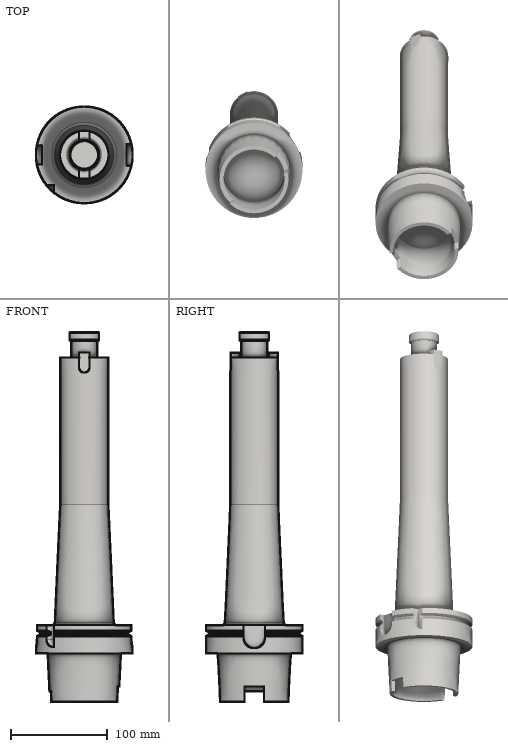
import cadquery as cq
import math

total_height = 381.5
taper_height = 50.0
flange_height = 29.0
cone_top = 203.5
shoulder_height = 355.5
pilot_top = 372.5

flange_diameter = 100.0
taper_top_diameter = 76.0
taper_ratio = 0.1
sleeve_diameter = 50.0
cone_base_diameter = 61.0
pilot_diameter = 27.0
bore_diameter = 63.0

fillet_radius = 3.0

groove_centre = 70.5
groove_mouth = 6.0
groove_floor = 2.3
groove_depth = 3.5

rim_slot_floor = 43.5
left_rim_slot_width = 20.0
right_rim_slot_width = 22.0
rim_slot_bottom = 55.5

corner_notch_wall = 31.3
corner_notch_radius = 8.0
corner_notch_bottom = 56.5

end_notch_width = 20.0
left_end_notch_height = 10.5
right_end_notch_height = 16.0

key_width = 10.5
key_inner_face = 15.0
key_outer_face = 24.5
key_top = 360.3
key_bottom = 339.5

head_diameter = 31.0
head_chamfer = 1.0

flange_top = taper_height + flange_height
taper_end_diameter = taper_top_diameter - taper_ratio * taper_height


def round_bottom_slot(plane, centre, width, bottom, top, depth):
    """Slot with a semicircular lower end, drawn on a vertical plane and extruded along its normal."""
    radius = width / 2
    return (
        cq.Workplane(plane)
        .moveTo(centre - radius, top)
        .lineTo(centre - radius, bottom + radius)
        .threePointArc((centre, bottom), (centre + radius, bottom + radius))
        .lineTo(centre + radius, top)
        .close()
        .extrude(depth)
    )


def turned_blank():
    """Shank, flange, cone, sleeve and pilot as one revolved profile."""
    flange_radius = flange_diameter / 2
    fillet_foot = cone_base_diameter / 2 + fillet_radius
    fillet_middle = fillet_radius * (1 - math.sqrt(0.5))
    groove_radius = flange_radius - groove_depth
    return (
        cq.Workplane("XZ")
        .lineTo(taper_end_diameter / 2, 0)
        .lineTo(taper_top_diameter / 2, taper_height)
        .lineTo(flange_radius, taper_height)
        .lineTo(flange_radius, groove_centre - groove_mouth / 2)
        .lineTo(groove_radius, groove_centre - groove_floor / 2)
        .lineTo(groove_radius, groove_centre + groove_floor / 2)
        .lineTo(flange_radius, groove_centre + groove_mouth / 2)
        .lineTo(flange_radius, flange_top)
        .lineTo(fillet_foot, flange_top)
        .threePointArc(
            (cone_base_diameter / 2 + fillet_middle, flange_top + fillet_middle),
            (cone_base_diameter / 2, flange_top + fillet_radius),
        )
        .lineTo(sleeve_diameter / 2, cone_top)
        .lineTo(sleeve_diameter / 2, shoulder_height)
        .lineTo(pilot_diameter / 2, shoulder_height)
        .lineTo(pilot_diameter / 2, pilot_top)
        .lineTo(0, pilot_top)
        .close()
        .revolve(360, (0, 0, 0), (0, 1, 0))
    )


def shank_bore():
    """Blind bore up the hollow shank."""
    return cq.Workplane("XY").circle(bore_diameter / 2).extrude(taper_height)


def end_notch(side, height):
    """Square notch through the shank wall, on the +X (side 1) or -X (side -1) side."""
    reach = taper_top_diameter / 2
    return (
        cq.Workplane("XY")
        .center(side * reach / 2, 0)
        .rect(reach, end_notch_width)
        .extrude(height)
    )


def rim_slot(side, width):
    """Driving slot with a flat floor, open at the top and the rim of the flange."""
    depth = flange_diameter / 2 - rim_slot_floor
    plane = cq.Workplane("YZ", origin=(side * rim_slot_floor, 0, 0)).plane
    return round_bottom_slot(plane, 0, width, rim_slot_bottom, flange_top, side * depth)


def corner_notch():
    """Orientation notch cut into the rim between -X and -Y."""
    depth = flange_diameter / 2 - corner_notch_wall
    centre = -corner_notch_wall - corner_notch_radius
    plane = cq.Workplane("YZ", origin=(-corner_notch_wall, 0, 0)).plane
    return round_bottom_slot(
        plane, centre, 2 * corner_notch_radius, corner_notch_bottom, flange_top, -depth
    )


def key_shape(side, outer_face):
    """Round-ended block from the key's inner face out to the given face, on the +Y or -Y side."""
    plane = cq.Workplane("XZ", origin=(0, side * key_inner_face, 0)).plane
    depth = -side * (outer_face - key_inner_face)
    return round_bottom_slot(plane, 0, key_width, key_bottom, key_top, depth)


def make_holder():
    """Tool holder with its bore, notches, slots and key pockets."""
    holder = turned_blank().cut(shank_bore())
    holder = holder.cut(end_notch(-1, left_end_notch_height))
    holder = holder.cut(end_notch(1, right_end_notch_height))
    holder = holder.cut(rim_slot(-1, left_rim_slot_width))
    holder = holder.cut(rim_slot(1, right_rim_slot_width))
    holder = holder.cut(corner_notch())
    for side in (-1, 1):
        holder = holder.cut(key_shape(side, sleeve_diameter / 2))
    return holder


def make_drive_key(side):
    """Drive key that stands above the shoulder and sits in its pocket in the sleeve."""
    return key_shape(side, key_outer_face)


def make_screw_head():
    """Clamp screw head, a chamfered disc resting on the end of the pilot."""
    return (
        cq.Workplane("XY", origin=(0, 0, pilot_top))
        .circle(head_diameter / 2)
        .extrude(total_height - pilot_top)
        .faces("<Z or >Z")
        .chamfer(head_chamfer)
    )


holder = make_holder()
drive_keys = [make_drive_key(side) for side in (-1, 1)]
screw_head = make_screw_head()

result = cq.Compound.makeCompound(
    [holder.val(), *[key.val() for key in drive_keys], screw_head.val()]
)